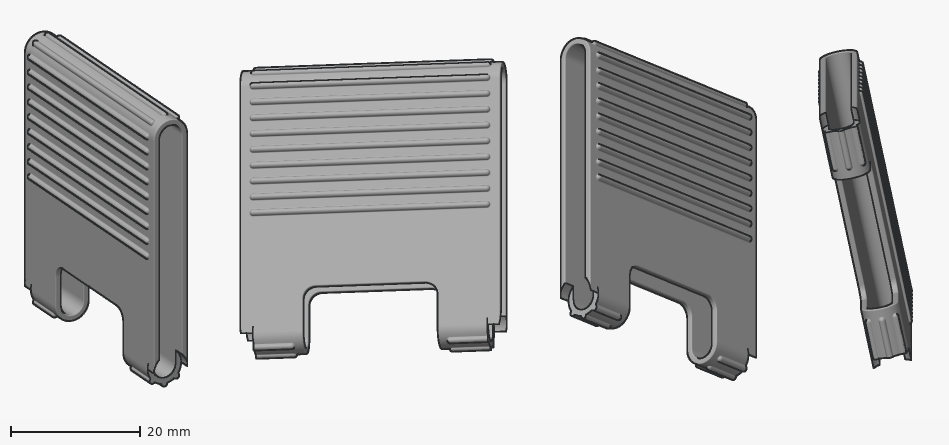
import cadquery as cq
import math

height = 46.0
width = 41.0
depth_over_ribs = 7.0
rib_radius = 0.5
thickness = depth_over_ribs - 2 * rib_radius
wall = 1.0
edge_round = 0.2

outer_radius = thickness / 2
low_center = rib_radius + outer_radius
high_center = height - low_center
slot_height = high_center - low_center + thickness

opening_width = 21.15
opening_top = 10.6
opening_corner = 2.0

hook_end = 18.45

rib_end = 18.4
rib_root_fillet = 0.15
flat_rib_span = 20.0
flat_rib_count = 9
flat_rib_pitch = flat_rib_span / (flat_rib_count - 1)
round_end_angles = (-45, 0, 45)

hook_rib_start = 12.5
hook_rib_end = hook_end + 2 * rib_radius

clearance = 0.45
tolerance = 0.0005
origin = (0, 0, 0)
x_axis = (1, 0, 0)
z_axis = (0, 0, 1)


def make_sleeve():
    """Slot-shaped tube with the lower opening cut through and its open edges rounded."""
    sleeve = (
        cq.Workplane("YZ")
        .center(0, (low_center + high_center) / 2)
        .slot2D(slot_height, thickness, 90)
        .slot2D(slot_height - 2 * wall, thickness - 2 * wall, 90)
        .extrude(width / 2, both=True)
    )
    opening = (
        cq.Workplane("XY")
        .box(opening_width, 2 * thickness, 2 * opening_top)
        .edges("|Y")
        .fillet(opening_corner)
    )
    sleeve = sleeve.cut(opening)

    end_edges = sleeve.faces("<X or >X").edges()
    opening_region = cq.selectors.BoxSelector(
        (-opening_width / 2 - tolerance, -thickness, 0),
        (opening_width / 2 + tolerance, thickness, opening_top + tolerance),
        boundingbox=True,
    )
    opening_edges = sleeve.edges(opening_region).edges("not |Y")
    return sleeve.newObject(end_edges.vals() + opening_edges.vals()).fillet(edge_round)


def rib_places():
    """X start, X end, angle about a round centre (0 = up) and height of that centre, for each rib."""
    places = []
    for row in range(flat_rib_count):
        for angle in (-90, 90):
            places.append((-rib_end, rib_end, angle, high_center - row * flat_rib_pitch))
    for angle in round_end_angles:
        places.append((-rib_end, rib_end, angle, high_center))
        places.append((hook_rib_start, hook_rib_end, angle + 180, low_center))
        places.append((-hook_rib_end, -hook_rib_start, angle + 180, low_center))
    return places


def make_rib(x_start, x_end, angle, center_z):
    """Round bar with domed ends, its axis lying on the outer surface."""
    bar = cq.Workplane("YZ").circle(rib_radius).extrude(x_end - x_start)
    bar = bar.rotate(origin, x_axis, -90).translate((x_start, 0, 0))
    dome = cq.Workplane("XY").sphere(rib_radius)
    bar = bar.union(dome.translate((x_start, 0, 0)))
    bar = bar.union(dome.rotate(origin, z_axis, 180).translate((x_end, 0, 0)))
    bar = bar.translate((0, 0, outer_radius))
    return bar.rotate(origin, x_axis, angle).translate((0, 0, center_z))


def on_outer_surface(point):
    nearest_center = min(max(point.z, low_center), high_center)
    return abs(math.hypot(point.y, point.z - nearest_center) - outer_radius) < tolerance


def on_rib_surface(point, place):
    x_start, x_end, angle, center_z = place
    axis_point = cq.Vector(
        min(max(point.x, x_start), x_end),
        -outer_radius * math.sin(math.radians(angle)),
        center_z + outer_radius * math.cos(math.radians(angle)),
    )
    return abs((point - axis_point).Length - rib_radius) < tolerance


def is_rib_root(edge, places):
    """Whether an edge is the corner between a rib and the sleeve's outer surface."""
    middle = edge.positionAt(0.5)
    return on_outer_surface(middle) and any(on_rib_surface(middle, place) for place in places)


def add_ribs(body):
    places = rib_places()
    for place in places:
        body = body.union(make_rib(*place))
    root_edges = [edge for edge in body.edges().vals() if is_rib_root(edge, places)]
    return body.newObject(root_edges).fillet(rib_root_fillet)


def make_hook_relief():
    """Cut beyond a hook's +X end: all below the lower round centre, plus a bore about it."""
    length = width / 2 - hook_end + clearance
    bore = cq.Workplane("YZ").center(0, low_center).circle(outer_radius).extrude(length)
    below = cq.Workplane("XY").box(length, 2 * thickness, low_center, centered=(False, True, False))
    return bore.union(below).translate((hook_end, 0, 0))


hook_relief = make_hook_relief()
result = add_ribs(make_sleeve())
result = result.cut(hook_relief).cut(hook_relief.mirror("YZ"))